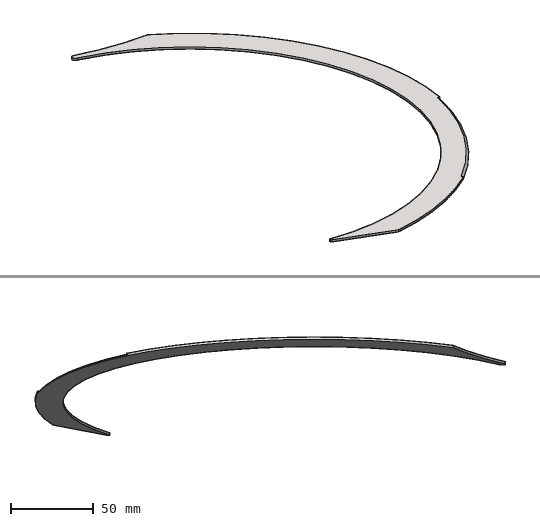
import cadquery as cq
import math

length = 321.0
height = 171.0
thickness = 1.5

inner_center_x = 162.5
inner_center_y = 0.0
inner_radius = 152.0

left_corner = (0.0, 56.0)
right_corner = (length, 60.0)

left_arc_middle = (64.2, 141.5)
crown = (161.8, height)
bevel_end = (270.5, 130.5)
bevel_radius = 193.5
right_arc_middle = (298.8, 99.8)

left_tip_outer = (6.0, 2.0)
left_tail_middle = (4.8, 30.2)
left_tip_bottom = (7.7, 0.0)
left_tip_inner_y = 3.0
right_tip = (315.2, 16.7)
right_tip_inner_y = 16.7

bevel_width = 1.5
bevel_depth = 1.3
cutter_margin = 3.2

chord_x = bevel_end[0] - crown[0]
chord_y = bevel_end[1] - crown[1]
chord = math.hypot(chord_x, chord_y)
outward = (-chord_y / chord, chord_x / chord)
center_offset = math.sqrt(bevel_radius**2 - (chord / 2) ** 2)
bevel_center = (
    (crown[0] + bevel_end[0]) / 2 - center_offset * outward[0],
    (crown[1] + bevel_end[1]) / 2 - center_offset * outward[1],
)
bevel_arc_middle = (
    bevel_center[0] + bevel_radius * outward[0],
    bevel_center[1] + bevel_radius * outward[1],
)


def inner_arc_point(y, side):
    """Point of the inner circle at height y; side is -1 for left, 1 for right."""
    half_chord = math.sqrt(inner_radius**2 - (y - inner_center_y) ** 2)
    return (inner_center_x + side * half_chord, y)


def crescent():
    """Flat plate with a rounded left tip and a pointed right tip."""
    return (
        cq.Workplane("XY")
        .moveTo(*left_corner)
        .threePointArc(left_arc_middle, crown)
        .threePointArc(bevel_arc_middle, bevel_end)
        .threePointArc(right_arc_middle, right_corner)
        .lineTo(*right_tip)
        .lineTo(*inner_arc_point(right_tip_inner_y, 1))
        .threePointArc(
            (inner_center_x, inner_center_y + inner_radius),
            inner_arc_point(left_tip_inner_y, -1),
        )
        .threePointArc(left_tip_bottom, left_tip_outer)
        .threePointArc(left_tail_middle, left_corner)
        .close()
        .extrude(thickness)
    )


def bevel_cutter():
    """Ring sector with a wedge section that trims the rim's top edge along the bevel arc."""
    start_angle = math.degrees(math.atan2(crown[1] - bevel_center[1], crown[0] - bevel_center[0]))
    end_angle = math.degrees(math.atan2(bevel_end[1] - bevel_center[1], bevel_end[0] - bevel_center[0]))
    wedge = [
        (bevel_radius - bevel_width, thickness),
        (bevel_radius, thickness - bevel_depth),
        (bevel_radius + cutter_margin, thickness - bevel_depth),
        (bevel_radius + cutter_margin, thickness),
    ]
    return (
        cq.Workplane("XZ")
        .polyline(wedge)
        .close()
        .revolve(start_angle - end_angle, (0, 0, 0), (0, 1, 0))
        .rotate((0, 0, 0), (0, 0, 1), end_angle)
        .translate((*bevel_center, 0))
    )


result = crescent().cut(bevel_cutter())